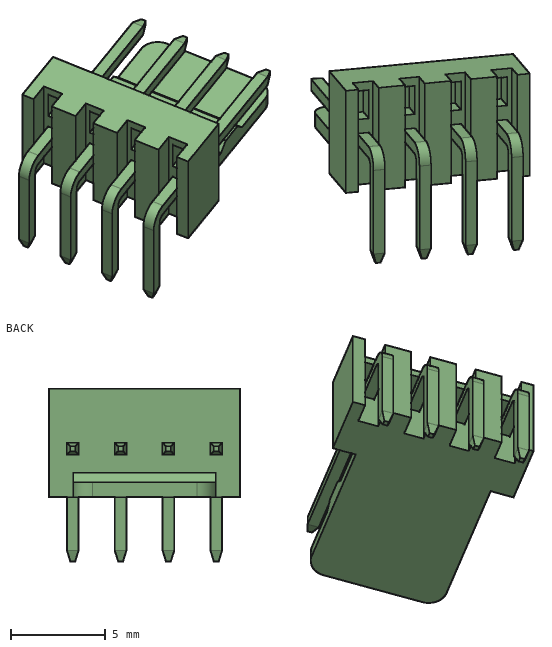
import cadquery as cq

pin_count = 4
pitch = 2.54
pin_side = 0.64
pin_tip_side = 0.26
pin_taper = 0.61
pin_axis_z = 2.57
pin_front_y = 10.76
pin_back_y = -2.03
pin_bottom_z = -3.43
bend_outer_radius = 1.0
bend_mid_radius = bend_outer_radius - pin_side / 2
pin_tail_y = pin_back_y + pin_side / 2
pin_positions = [(i - (pin_count - 1) / 2) * pitch for i in range(pin_count)]

block_width = 10.15
block_depth = 3.29
block_height = 5.76

notch_depth = 1.11
rib_width = 1.46
end_rib_width = 0.69

pocket_height = 1.6
pocket_depth = 1.11
pocket_top_gap = 0.49

tongue_width = 7.58
tongue_thickness = 0.8
tongue_tip_y = 11.49
tongue_corner_radius = 1.01
ridge_start_y = 5.77
ridge_height = 0.49
ridge_flat = 1.25


def box(x_size, y_min, y_max, z_min, z_max, x_center=0.0):
    """Box centred on x_center and spanning the given Y and Z limits."""
    corner = (x_center - x_size / 2, y_min, z_min)
    return cq.Workplane("XY").box(x_size, y_max - y_min, z_max - z_min, centered=False).translate(corner)


def make_tongue():
    plate = box(tongue_width, block_depth, tongue_tip_y, 0, tongue_thickness)
    plate = plate.edges("|Z and >Y").fillet(tongue_corner_radius)
    ridge = (
        cq.Workplane("YZ", origin=(-tongue_width / 2, ridge_start_y, tongue_thickness))
        .lineTo(ridge_height, ridge_height)
        .lineTo(ridge_height + ridge_flat, ridge_height)
        .lineTo(2 * ridge_height + ridge_flat, 0)
        .close()
        .extrude(tongue_width)
    )
    return plate.union(ridge)


def make_block():
    block = box(block_width, notch_depth, block_depth, 0, block_height)
    for x in pin_positions[:-1]:
        block = block.union(box(rib_width, 0, notch_depth, 0, block_height, x + pitch / 2))
    end_rib_x = (block_width - end_rib_width) / 2
    for x in (-end_rib_x, end_rib_x):
        block = block.union(box(end_rib_width, 0, notch_depth, 0, block_height, x))
    return block


def make_housing():
    housing = make_block().union(make_tongue())
    pocket_end_y = notch_depth + pocket_depth
    pocket_top = block_height - pocket_top_gap
    pin_bottom = pin_axis_z - pin_side / 2
    pin_top = pin_axis_z + pin_side / 2
    for x in pin_positions:
        pocket = box(pin_side, notch_depth, pocket_end_y, pocket_top - pocket_height, pocket_top, x)
        pin_hole = box(pin_side, notch_depth, block_depth, pin_bottom, pin_top, x)
        housing = housing.cut(pocket).cut(pin_hole)
    return housing


def make_pin_tip(plane):
    """Square pyramid frustum that narrows along the plane normal."""
    return (
        cq.Workplane(plane)
        .rect(pin_side, pin_side)
        .workplane(offset=pin_taper)
        .rect(pin_tip_side, pin_tip_side)
        .loft(ruled=True)
    )


def make_pin(x):
    shank_end_y = pin_front_y - pin_taper
    tail_end_z = pin_bottom_z + pin_taper
    front_end = cq.Plane(origin=(x, shank_end_y, pin_axis_z), xDir=(1, 0, 0), normal=(0, 1, 0))
    tail_end = cq.Plane(origin=(x, pin_tail_y, tail_end_z), xDir=(1, 0, 0), normal=(0, 0, -1))
    bend_start = (pin_tail_y + bend_mid_radius, pin_axis_z)
    bend_end = (pin_tail_y, pin_axis_z - bend_mid_radius)
    path = (
        cq.Workplane("YZ", origin=(x, 0, 0))
        .moveTo(shank_end_y, pin_axis_z)
        .lineTo(*bend_start)
        .tangentArcPoint(bend_end, relative=False)
        .lineTo(pin_tail_y, tail_end_z)
    )
    wire = cq.Workplane(front_end).rect(pin_side, pin_side).sweep(path)
    return wire.union(make_pin_tip(front_end)).union(make_pin_tip(tail_end))


housing = make_housing()
pins = [make_pin(x) for x in pin_positions]

result = cq.Compound.makeCompound([housing.val(), *[pin.val() for pin in pins]])